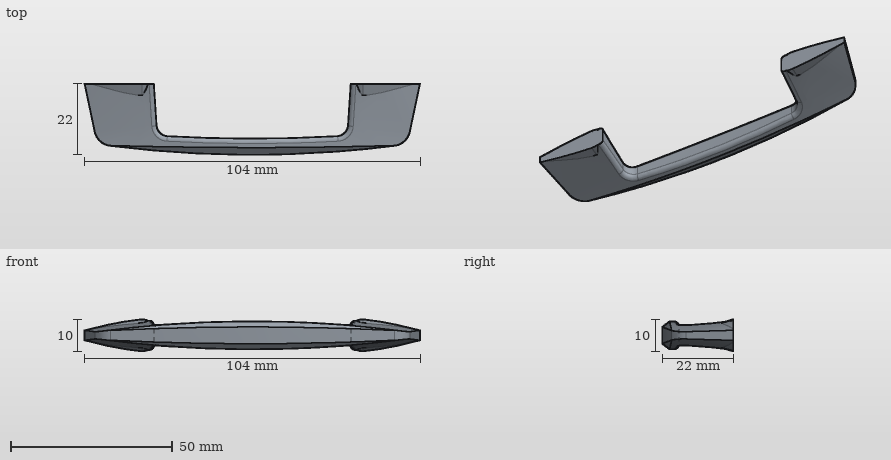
import cadquery as cq

half_length = 52.0
depth = 22.0

prism_half_height = 10.4

outer_corner_x = 48.0
outer_corner_y = -18.7
outer_corner_radius = 5.7
foot_inner_x = 30.5
inner_corner_x = 29.4
inner_corner_y = -16.0
inner_corner_radius = 3.5
inner_bow_y = -17.0

crown_half_span = 54.1
leg_x = 33.3
crown_sections = [
    (0.0, 1.0, 4.5, 4.8),
    (-12.5, 0.4, 3.1, 4.6),
    (-18.7, 0.2, 2.8, 4.4),
    (-23.9, 0.1, 2.7, 4.3),
]

inner_edge_radius = 1.5
pick_margin = 0.1

bevel_half_span = 45.0
bevel_end = (-19.1, 1.5)
bevel_middle = (-depth, 2.6)
bevel_run = 2.2
bevel_rise = 1.7
bevel_low_reach = 1.0
bevel_high_reach = 3.0

foot_tip_half_height = 1.5
foot_half_height = 5.0
foot_peak_x = 34.3
foot_mid_x = 43.7
foot_mid_half_height = 3.5
foot_inner_half_height = 3.1
foot_shoulder_x = 32.1
foot_shoulder_half_height = 4.5
foot_depth = 3.5
foot_taper = 17.0


def plan_prism():
    """Plan outline as a tall prism with rounded grip corners."""
    height = 2 * prism_half_height
    prism = (
        cq.Workplane("XY", origin=(0, 0, -height / 2))
        .moveTo(-half_length, 0)
        .lineTo(-outer_corner_x, outer_corner_y)
        .threePointArc((0, -depth), (outer_corner_x, outer_corner_y))
        .lineTo(half_length, 0)
        .lineTo(foot_inner_x, 0)
        .lineTo(inner_corner_x, inner_corner_y)
        .threePointArc((0, inner_bow_y), (-inner_corner_x, inner_corner_y))
        .lineTo(-foot_inner_x, 0)
        .close()
        .extrude(height)
    )

    for corner_x, corner_y, radius in (
        (outer_corner_x, outer_corner_y, outer_corner_radius),
        (inner_corner_x, inner_corner_y, inner_corner_radius),
    ):
        for side in (-1, 1):
            corner = cq.selectors.NearestToPointSelector((side * corner_x, corner_y, 0))
            prism = prism.edges("|Z").edges(corner).fillet(radius)
    return prism


def crown_wire(y, end_half_height, leg_half_height, middle_half_height):
    """Section across the handle with crowned upper and lower sides."""
    upper = [
        (-crown_half_span, end_half_height),
        (-leg_x, leg_half_height),
        (0, middle_half_height),
        (leg_x, leg_half_height),
        (crown_half_span, end_half_height),
    ]
    lower = [(x, -z) for x, z in reversed(upper)]
    return (
        cq.Workplane("XZ", origin=(0, y, 0))
        .moveTo(*upper[0])
        .spline(upper[1:], includeCurrent=True)
        .lineTo(*lower[0])
        .spline(lower[1:], includeCurrent=True)
        .close()
        .wires()
        .val()
    )


def crowned_block():
    return cq.Workplane(cq.Solid.makeLoft([crown_wire(*section) for section in crown_sections]))


def bevel_wire(x, front_edge):
    """Triangle above the bevel line that starts at the front edge."""
    y, z = front_edge
    low = (y - bevel_low_reach * bevel_run, z - bevel_low_reach * bevel_rise)
    high = (y + bevel_high_reach * bevel_run, z + bevel_high_reach * bevel_rise)
    return cq.Workplane("YZ", origin=(x, 0, 0)).polyline([low, high, (low[0], high[1])]).close().wires().val()


def bevel_cutter():
    wires = [
        bevel_wire(-bevel_half_span, bevel_end),
        bevel_wire(0, bevel_middle),
        bevel_wire(bevel_half_span, bevel_end),
    ]
    return cq.Workplane(cq.Solid.makeLoft(wires))


def left_foot():
    """Flared pad, widest on the mounting face and tapering toward the grip."""
    return (
        cq.Workplane("XZ")
        .moveTo(-half_length, -foot_tip_half_height)
        .lineTo(-half_length, foot_tip_half_height)
        .threePointArc((-foot_mid_x, foot_mid_half_height), (-foot_peak_x, foot_half_height))
        .threePointArc(
            (-foot_shoulder_x, foot_shoulder_half_height), (-foot_inner_x, foot_inner_half_height)
        )
        .lineTo(-foot_inner_x, -foot_inner_half_height)
        .threePointArc(
            (-foot_shoulder_x, -foot_shoulder_half_height), (-foot_peak_x, -foot_half_height)
        )
        .threePointArc((-foot_mid_x, -foot_mid_half_height), (-half_length, -foot_tip_half_height))
        .close()
        .extrude(foot_depth, taper=foot_taper)
    )


prism = plan_prism()
body = prism.intersect(crowned_block())

inner_box = cq.selectors.BoxSelector(
    (-foot_inner_x, inner_bow_y - pick_margin, -prism_half_height),
    (foot_inner_x, -pick_margin, prism_half_height),
)
body = body.edges(inner_box).edges("not |Z").fillet(inner_edge_radius)

upper_bevel = bevel_cutter()
body = body.cut(upper_bevel).cut(upper_bevel.mirror("XY"))

foot = left_foot()
result = body.union(foot).union(foot.mirror("YZ"))